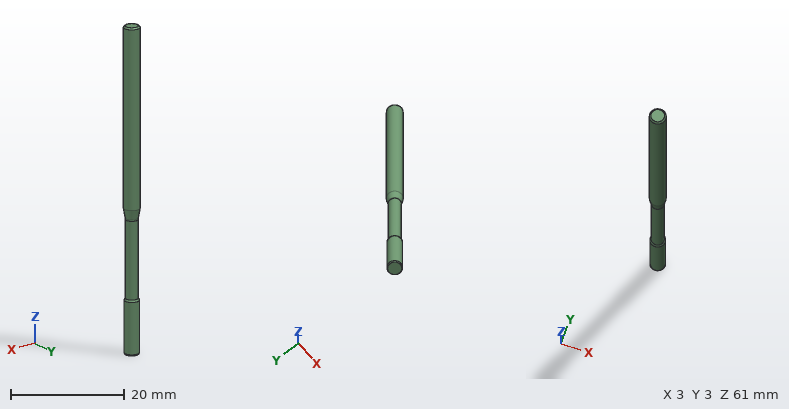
import cadquery as cq
import math

shank_diameter = 3.0
neck_diameter = 2.35
head_diameter = 2.79

overall_length = 61.0
taper_bottom = 25.25
joint_height = 25.0
head_length = 10.0

shank_chamfer = 0.3
tip_chamfer_height = 0.27
head_slope = 30.0
taper_slope = 10.0

shank_radius = shank_diameter / 2
neck_radius = neck_diameter / 2
head_radius = head_diameter / 2
slope_tangent = math.tan(math.radians(head_slope))
shoulder_height = (head_radius - neck_radius) / slope_tangent
taper_height = (shank_radius - neck_radius) / math.tan(math.radians(taper_slope))
shank_bottom = taper_bottom + taper_height
tip_radius = head_radius - tip_chamfer_height * slope_tangent


def turned_body(profile):
    """Revolve a closed (radius, height) profile about the Z axis."""
    return cq.Workplane("XZ").polyline(profile).close().revolve(360, (0, 0), (0, 1))


def make_cutter():
    """Lower body: chamfered tip, cylindrical head, sloped shoulder and slim neck."""
    return turned_body([
        (0, 0),
        (tip_radius, 0),
        (head_radius, tip_chamfer_height),
        (head_radius, head_length),
        (neck_radius, head_length + shoulder_height),
        (neck_radius, joint_height),
        (0, joint_height),
    ])


def make_shank():
    """Upper body: short end of the neck, taper and chamfered clamping shank."""
    return turned_body([
        (0, joint_height),
        (neck_radius, joint_height),
        (neck_radius, taper_bottom),
        (shank_radius, shank_bottom),
        (shank_radius, overall_length - shank_chamfer),
        (shank_radius - shank_chamfer, overall_length),
        (0, overall_length),
    ])


cutter = make_cutter()
shank = make_shank()

result = cq.Compound.makeCompound([cutter.val(), shank.val()])